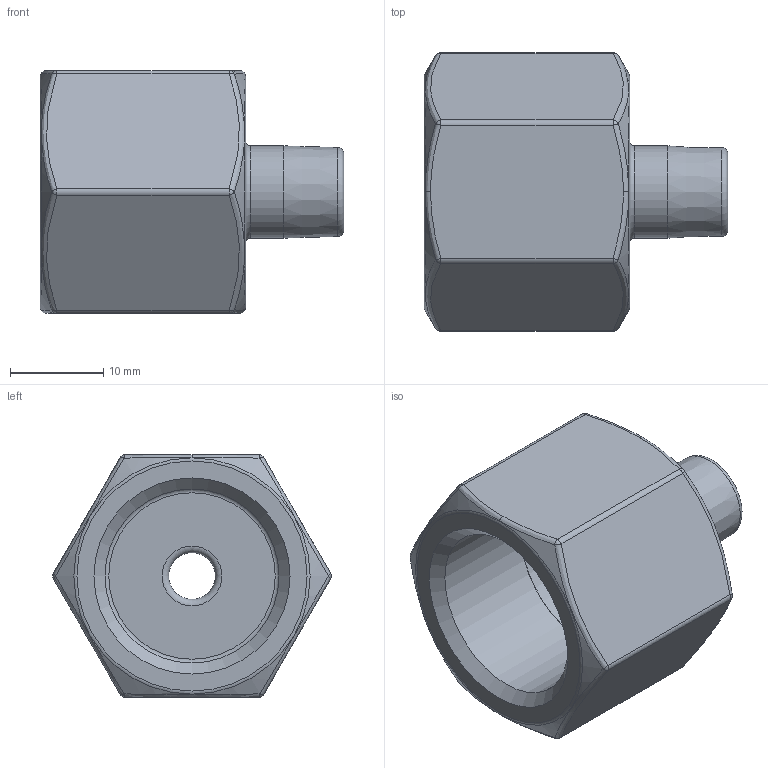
import cadquery as cq
import math

ARC_MID = math.sqrt(0.5)

HEX_SIDES = 6
ACROSS_FLATS = 26.0
BODY_LENGTH = 22.0
TOTAL_LENGTH = 32.5
EDGE_RADIUS = 0.65
END_FACE_DIAMETER = 25.0
END_CHAMFER_ANGLE = math.radians(30)
CONE_CLEARANCE = 1.0

SPIGOT_DIAMETER = 9.88
SPIGOT_ROOT_RADIUS = 0.5
SPIGOT_STRAIGHT_LENGTH = 4.1
SPIGOT_TIP_ROUND = 0.65
TAPER_PER_DIAMETER = 1 / 16

SOCKET_MOUTH_DIAMETER = 21.0
SOCKET_DIAMETER = 18.63
SOCKET_MOUTH_DEPTH = (SOCKET_MOUTH_DIAMETER - SOCKET_DIAMETER) / 2
SOCKET_THREAD_DEPTH = 12.7
SOCKET_DEPTH = 15.0
RELIEF_DIAMETER = 18.83
SOCKET_FLOOR_RADIUS = 0.5
BORE_DIAMETER = 5.0
BORE_EDGE_RADIUS = 0.7


def revolve_about_x(profile):
    """Revolve a closed XZ profile about the X axis."""
    return profile.close().revolve(360, (0, 0, 0), (1, 0, 0))


def hex_body():
    """Hexagonal prism with flats at top and bottom, coned at both ends, all edges eased."""
    across_corners = ACROSS_FLATS / math.cos(math.pi / HEX_SIDES)
    prism = cq.Workplane("YZ").polygon(HEX_SIDES, across_corners).extrude(BODY_LENGTH)

    face_radius = END_FACE_DIAMETER / 2
    rim_radius = across_corners / 2 + CONE_CLEARANCE
    cone_length = (rim_radius - face_radius) * math.tan(END_CHAMFER_ANGLE)
    envelope = revolve_about_x(
        cq.Workplane("XZ")
        .lineTo(0, face_radius)
        .lineTo(cone_length, rim_radius)
        .lineTo(BODY_LENGTH - cone_length, rim_radius)
        .lineTo(BODY_LENGTH, face_radius)
        .lineTo(BODY_LENGTH, 0)
    )
    coned = prism.intersect(envelope)
    return coned.edges().fillet(EDGE_RADIUS)


def spigot():
    """Straight neck with a filleted root, then a tapered thread length with a rounded tip."""
    neck_radius = SPIGOT_DIAMETER / 2
    taper_start = BODY_LENGTH + SPIGOT_STRAIGHT_LENGTH
    tip_start = TOTAL_LENGTH - SPIGOT_TIP_ROUND
    taper_end_radius = neck_radius - (tip_start - taper_start) * TAPER_PER_DIAMETER / 2
    root_mid_offset = SPIGOT_ROOT_RADIUS * (1 - ARC_MID)
    tip_radius = taper_end_radius - SPIGOT_TIP_ROUND
    return revolve_about_x(
        cq.Workplane("XZ")
        .moveTo(SOCKET_DEPTH, 0)
        .lineTo(SOCKET_DEPTH, neck_radius + SPIGOT_ROOT_RADIUS)
        .lineTo(BODY_LENGTH, neck_radius + SPIGOT_ROOT_RADIUS)
        .threePointArc(
            (BODY_LENGTH + root_mid_offset, neck_radius + root_mid_offset),
            (BODY_LENGTH + SPIGOT_ROOT_RADIUS, neck_radius),
        )
        .lineTo(taper_start, neck_radius)
        .lineTo(tip_start, taper_end_radius)
        .threePointArc(
            (tip_start + SPIGOT_TIP_ROUND * ARC_MID, tip_radius + SPIGOT_TIP_ROUND * ARC_MID),
            (TOTAL_LENGTH, tip_radius),
        )
        .lineTo(TOTAL_LENGTH, 0)
    )


def passage():
    """Countersunk socket with a relieved, filleted floor, opening into a bore with a rounded inlet."""
    relief_radius = RELIEF_DIAMETER / 2
    bore_radius = BORE_DIAMETER / 2
    floor_mid_offset = SOCKET_FLOOR_RADIUS * (1 - ARC_MID)
    inlet_mid_offset = BORE_EDGE_RADIUS * (1 - ARC_MID)
    return revolve_about_x(
        cq.Workplane("XZ")
        .lineTo(0, SOCKET_MOUTH_DIAMETER / 2)
        .lineTo(SOCKET_MOUTH_DEPTH, SOCKET_DIAMETER / 2)
        .lineTo(SOCKET_THREAD_DEPTH, SOCKET_DIAMETER / 2)
        .lineTo(SOCKET_THREAD_DEPTH, relief_radius)
        .lineTo(SOCKET_DEPTH - SOCKET_FLOOR_RADIUS, relief_radius)
        .threePointArc(
            (SOCKET_DEPTH - floor_mid_offset, relief_radius - floor_mid_offset),
            (SOCKET_DEPTH, relief_radius - SOCKET_FLOOR_RADIUS),
        )
        .lineTo(SOCKET_DEPTH, bore_radius + BORE_EDGE_RADIUS)
        .threePointArc(
            (SOCKET_DEPTH + inlet_mid_offset, bore_radius + inlet_mid_offset),
            (SOCKET_DEPTH + BORE_EDGE_RADIUS, bore_radius),
        )
        .lineTo(TOTAL_LENGTH, bore_radius)
        .lineTo(TOTAL_LENGTH, 0)
    )


result = hex_body().union(spigot()).cut(passage())